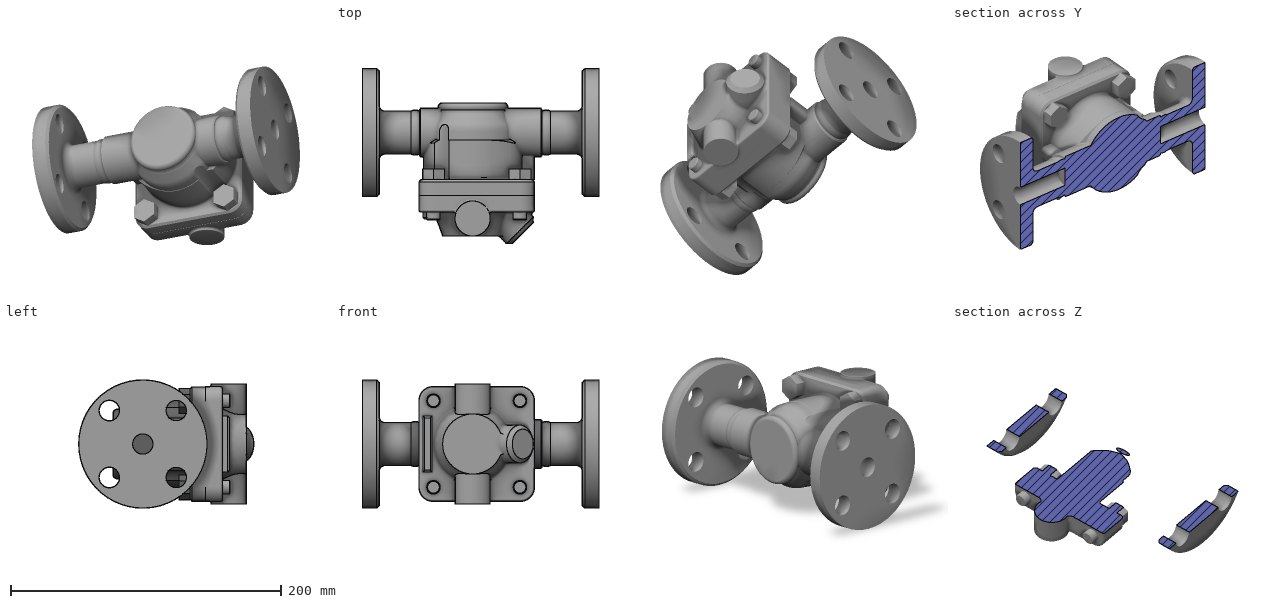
import cadquery as cq
import math


face_to_face = 175.0
flange_diameter = 95.0
flange_thickness = 12.5
flange_chamfer = 2.0
bolt_circle_diameter = 70.0
flange_hole_diameter = 15.0
bore_diameter = 15.0
neck_radius = 16.0
neck_fillet = 4.0
branch_radius = 18.0
branch_half_length = 45.5
branch_edge_chamfer = 1.0
weld_bead_length = 6.0
weld_bead_height = 0.7

body_x = -5.7
cover_x = -6.0
body_back_y = 22.0
collar_radius = 32.0
collar_front_y = -5.4
shoulder_slope = 1.2
crown_radius = 32.3
crown_half_width = 13.2
crown_inlet_half_width = 18.0
shoulder_radius = 50.0
shoulder_half_width = 28.4
shoulder_z = 19.4
lower_body_half_width = 36.8
branch_fillet = 0.7

joint_x = -3.0
joint_bolt_pitch = 64.0
joint_width = 85.5
cover_height = 85.0
body_flange_height = 84.7
body_flange_back_y = -34.8
parting_y = -46.5
cover_front_y = -58.9
body_flange_chamfer = 1.6
flange_fillet = 1.4
cover_edge_radius = 1.5
nut_width = 16.0
nut_height = 8.0
nut_clearance_radius = 12.6
bolt_diameter = 10.0
bolt_end_y = -64.6
bolt_edge_chamfer = 0.6

dome_front_y = -76.6
dome_base_radius = 29.0
dome_front_radius = 22.2
dome_fillet = 2.0
port_fillet = 1.5
boss_fillet = 2.0
port_radius = 13.0
port_half_length = 44.5
port_edge_radius = 0.4
angled_boss_radius = 14.0
angled_boss_face_radius = 11.0
angled_boss_face_x = 31.1
overall_front_y = -82.21
name_bar_left_x = -42.9
name_bar_width = 7.0
name_bar_half_length = 20.8
name_bar_height = 5.2
name_bar_chamfer = 1.4

rib_end_x = 39.7
rib_half_width = 5.5
rib_edge_radius = 3.0


def cylinder_along_y(x, z, radius, start_y, end_y):
    plane = cq.Plane(origin=(x, start_y, z), xDir=(1, 0, 0), normal=(0, -1, 0))
    return cq.Workplane(plane).circle(radius).extrude(start_y - end_y)


def joint_bolt_places():
    half_pitch = joint_bolt_pitch / 2
    return [(joint_x + sx * half_pitch, sz * half_pitch) for sx in (-1, 1) for sz in (-1, 1)]


def make_pipe_half():
    """Inlet half of the pipe run: flange, neck, weld bead and branch, turned about X."""
    end_x = -face_to_face / 2
    flange_back_x = end_x + flange_thickness
    flange_radius = flange_diameter / 2
    bead_start_x = -branch_half_length - weld_bead_length
    bead_mid_x = -branch_half_length - weld_bead_length / 2
    fillet_mid = neck_fillet * (1 - math.sqrt(0.5))
    half = (
        cq.Workplane("XY")
        .moveTo(end_x, 0)
        .lineTo(end_x, flange_radius)
        .lineTo(flange_back_x - flange_chamfer, flange_radius)
        .lineTo(flange_back_x, flange_radius - flange_chamfer)
        .lineTo(flange_back_x, neck_radius + neck_fillet)
        .threePointArc(
            (flange_back_x + fillet_mid, neck_radius + fillet_mid),
            (flange_back_x + neck_fillet, neck_radius),
        )
        .lineTo(bead_start_x, neck_radius)
        .threePointArc(
            (bead_mid_x, neck_radius + weld_bead_height),
            (-branch_half_length, neck_radius),
        )
        .lineTo(-branch_half_length, branch_radius - branch_edge_chamfer)
        .lineTo(-branch_half_length + branch_edge_chamfer, branch_radius)
        .lineTo(0, branch_radius)
        .lineTo(0, 0)
        .close()
        .revolve(360, (0, 0, 0), (1, 0, 0))
    )
    bolt_offset = bolt_circle_diameter / 2 * math.sqrt(0.5)
    places = [(sy * bolt_offset, sz * bolt_offset) for sy in (-1, 1) for sz in (-1, 1)]
    end_plane = cq.Workplane("YZ", origin=(end_x, 0, 0))
    flange_holes = end_plane.pushPoints(places).circle(flange_hole_diameter / 2).extrude(flange_thickness)
    bore = end_plane.circle(bore_diameter / 2).extrude(face_to_face / 2 - branch_half_length)
    return half.cut(flange_holes).cut(bore)


def make_lower_body():
    """Oval part of the body behind its flange, tapering into the collar."""
    crown_z = math.sqrt(crown_radius**2 - crown_half_width**2)
    crown_inlet_z = math.sqrt(crown_radius**2 - crown_inlet_half_width**2)
    shoulder_x = shoulder_half_width
    plane = cq.Plane(origin=(body_x, collar_front_y, 0), xDir=(1, 0, 0), normal=(0, -1, 0))
    outline = (
        cq.Workplane(plane)
        .moveTo(-crown_inlet_half_width, crown_inlet_z)
        .threePointArc((0, crown_radius), (crown_half_width, crown_z))
        .radiusArc((shoulder_x, shoulder_z), shoulder_radius)
        .threePointArc((lower_body_half_width, 0), (shoulder_x, -shoulder_z))
        .radiusArc((crown_half_width, -crown_z), shoulder_radius)
        .threePointArc((0, -crown_radius), (-crown_inlet_half_width, -crown_inlet_z))
        .radiusArc((-shoulder_x, -shoulder_z), shoulder_radius)
        .threePointArc((-lower_body_half_width, 0), (-shoulder_x, shoulder_z))
        .radiusArc((-crown_inlet_half_width, crown_inlet_z), shoulder_radius)
        .close()
    )
    block = outline.extrude(collar_front_y - parting_y)
    cone_length = collar_front_y - parting_y
    cone = cq.Solid.makeCone(
        collar_radius,
        collar_radius + cone_length * shoulder_slope,
        cone_length,
        cq.Vector(body_x, collar_front_y, 0),
        cq.Vector(0, -1, 0),
    )
    return block.intersect(cq.Workplane(cone))


def make_body():
    """Body turned about its own axis, with the oval part in front of its collar."""
    return (
        cq.Workplane("XY", origin=(body_x, 0, 0))
        .moveTo(0, body_back_y)
        .lineTo(23.2, body_back_y)
        .threePointArc((25.8, 19.1), (24.9, 16.6))
        .threePointArc((25.4, 15.0), (26.5, 13.4))
        .lineTo(29.8, 7.7)
        .threePointArc((31.4, 4.5), (collar_radius, 0.8))
        .lineTo(collar_radius, body_flange_back_y)
        .lineTo(0, body_flange_back_y)
        .close()
        .revolve(360, (0, 0, 0), (0, 1, 0))
        .union(make_lower_body())
    )


def make_rib():
    depth = -body_flange_back_y
    length = rib_end_x - body_x
    return (
        cq.Workplane("XY")
        .box(length, depth, 2 * rib_half_width, centered=(False, False, True))
        .edges(">X and |Y")
        .fillet(rib_edge_radius)
        .translate((body_x, body_flange_back_y, 0))
    )


def make_casting():
    """Pipe run, body, rib and body flange, with clearance for the nuts on the inlet side."""
    flange = make_joint_plate(body_flange_height, body_flange_back_y, parting_y)
    flange = flange.faces(">Y").edges().chamfer(body_flange_chamfer)
    body_reach = body_flange_height / 2 - body_flange_chamfer - 0.1
    flange_foot = cq.selectors.BoxSelector(
        (joint_x - body_reach, body_flange_back_y - 0.1, -body_reach),
        (joint_x + body_reach, body_flange_back_y + 0.1, body_reach),
        boundingbox=True,
    )
    body = make_body().union(flange).edges(flange_foot).fillet(flange_fillet)

    inlet = make_pipe_half()
    casting = inlet.union(inlet.mirror("YZ")).union(body).union(make_rib())
    branch_seams = cq.selectors.BoxSelector(
        (-branch_half_length + 1, -branch_radius - 1, -branch_radius - 1),
        (branch_half_length - 1, branch_radius + 1, branch_radius + 1),
        boundingbox=True,
    )
    casting = casting.edges(cq.selectors.TypeSelector("BSPLINE") & branch_seams).fillet(branch_fillet)

    for x, z in joint_bolt_places():
        if x < joint_x:
            casting = casting.cut(cylinder_along_y(x, z, nut_clearance_radius, body_back_y, body_flange_back_y))
    return casting


def make_joint_plate(height, back_y, front_y):
    corner_radius = (height - joint_bolt_pitch) / 2
    plane = cq.Plane(origin=(joint_x, back_y, 0), xDir=(1, 0, 0), normal=(0, -1, 0))
    return cq.Workplane(plane).rect(joint_width, height).extrude(back_y - front_y).edges("|Y").fillet(corner_radius)


def make_ported_plate():
    """Cover plate with the two ports along Z, blended into its front and end faces."""
    plate = make_joint_plate(cover_height, parting_y, cover_front_y).faces("<Y").edges().fillet(cover_edge_radius)
    port_y = dome_front_y + port_radius
    ports = (
        cq.Workplane("XY", origin=(cover_x, port_y, -port_half_length))
        .circle(port_radius)
        .extrude(2 * port_half_length)
    )
    half_plate = cover_height / 2
    around_seams = cq.selectors.BoxSelector(
        (cover_x - port_radius - 1, cover_front_y - 0.1, -half_plate - 0.1),
        (cover_x + port_radius + 1, port_y + port_radius + 1, half_plate + 0.1),
        boundingbox=True,
    )
    ported_plate = plate.union(ports).edges(around_seams).fillet(port_fillet)
    return ported_plate.faces("<Z or >Z").edges().fillet(port_edge_radius)


def make_dome():
    """Cone on the cover with a concave round at its foot."""
    slope = math.atan2(dome_base_radius - dome_front_radius, cover_front_y - dome_front_y)
    tangent_length = dome_fillet * math.tan((math.pi / 2 - slope) / 2)
    foot_radius = dome_base_radius + tangent_length
    start_radius = dome_base_radius - tangent_length * math.sin(slope)
    start_y = cover_front_y - tangent_length * math.cos(slope)
    return (
        cq.Workplane("XY", origin=(cover_x, 0, 0))
        .moveTo(0, parting_y)
        .lineTo(foot_radius, parting_y)
        .lineTo(foot_radius, cover_front_y)
        .radiusArc((start_radius, start_y), -dome_fillet)
        .lineTo(dome_front_radius, dome_front_y)
        .lineTo(0, dome_front_y)
        .close()
        .revolve(360, (0, 0, 0), (0, 1, 0))
    )


def make_cover():
    cover = make_ported_plate().union(make_dome()).union(make_angled_boss())
    boss_foot = cq.selectors.BoxSelector(
        (cover_x + angled_boss_radius, dome_front_y - 0.1, -angled_boss_radius - 1),
        (joint_x + joint_width / 2 - 3, cover_front_y + 0.1, angled_boss_radius + 1),
        boundingbox=True,
    )
    return cover.edges(boss_foot - cq.selectors.TypeSelector("LINE")).fillet(boss_fillet)


def make_angled_boss():
    """Round boss leaving the dome at 45 degrees between +X and -Y."""
    face_y = overall_front_y + angled_boss_face_radius * math.sqrt(0.5)
    length = (parting_y - face_y) * math.sqrt(2)
    plane = cq.Plane(
        origin=(angled_boss_face_x, face_y, 0),
        xDir=(0, 0, 1),
        normal=(-1, 1, 0),
    )
    boss = cq.Workplane(plane).circle(angled_boss_radius).extrude(length)
    boss = boss.faces("<Y").edges().chamfer(angled_boss_radius - angled_boss_face_radius)
    return boss.intersect(cylinder_along_y(cover_x, 0, face_to_face, parting_y, overall_front_y - 1))


def make_name_bar():
    return (
        cq.Workplane("XY")
        .box(name_bar_width, name_bar_height, 2 * name_bar_half_length)
        .faces("<Y")
        .edges()
        .chamfer(name_bar_chamfer)
        .translate((name_bar_left_x + name_bar_width / 2, cover_front_y - name_bar_height / 2, 0))
    )


def make_joint_bolt(x, z):
    """Hex nut behind the body flange and stud end in front of the cover."""
    plane = cq.Plane(origin=(x, body_flange_back_y, z), xDir=(0, 0, 1), normal=(0, 1, 0))
    nut = cq.Workplane(plane).polygon(6, nut_width / math.cos(math.pi / 6)).extrude(nut_height)
    stud = cylinder_along_y(x, z, bolt_diameter / 2, body_flange_back_y, bolt_end_y)
    return nut.union(stud.faces("<Y").edges().chamfer(bolt_edge_chamfer))


result = make_casting().union(make_cover()).union(make_name_bar())
for bolt_x, bolt_z in joint_bolt_places():
    result = result.union(make_joint_bolt(bolt_x, bolt_z))